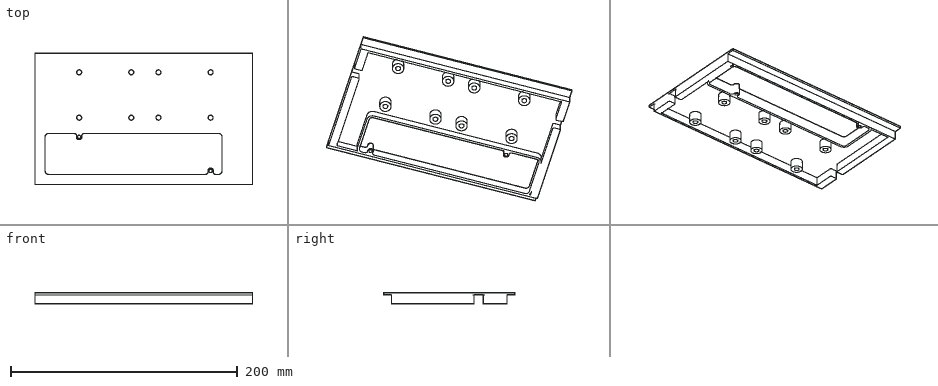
import cadquery as cq

plate_length = 192.0
plate_width = 116.0
plate_thickness = 2.0
overall_height = 10.0

body_setback = 7.0
body_width = plate_width - 2 * body_setback
body_depth = overall_height - plate_thickness
end_wall = 7.0
long_wall = 2.0

notch_width = 8.0
notch_center_y = 26.0
notch_corner_radius = 1.0

window_length = 156.0
window_width = 36.0
window_center_x = -9.0
window_center_y = -31.0
window_corner_radius = 3.0
window_frame_wall = 2.0

mounting_hole_diameter = 4.2
boss_diameter = 10.0
hole_pitch_x = 46.0
hole_pitch_y = 40.0
group_spacing = 70.0
groups_center_x = 1.0
groups_center_y = 21.0

lug_diameter = 5.0
lug_hole_diameter = 2.8
lug_reach = 3.0
lug_root_radius = 2.0
lug_offset_x = (group_spacing + hole_pitch_x) / 2


def mounting_cylinders(diameter, height):
    """Upright cylinders at the eight mounting positions, standing on Z = 0."""
    group_centers = [groups_center_x - group_spacing / 2, groups_center_x + group_spacing / 2]
    points = [
        (group_x + side_x * hole_pitch_x / 2, groups_center_y + side_y * hole_pitch_y / 2)
        for group_x in group_centers
        for side_x in (-1, 1)
        for side_y in (-1, 1)
    ]
    return cq.Workplane("XY").pushPoints(points).circle(diameter / 2).extrude(height)


def window_block(margin, height):
    """Rounded block of the window outline, widened all round by margin."""
    return (
        cq.Workplane("XY")
        .center(window_center_x, window_center_y)
        .rect(window_length + 2 * margin, window_width + 2 * margin)
        .extrude(height)
        .edges("|Z")
        .fillet(window_corner_radius + margin)
    )


def make_end_wall(side):
    """Wall at one X end, split by its notch into two parts."""
    center_x = side * (plate_length - end_wall) / 2
    wall = cq.Workplane("XY").center(center_x, 0).rect(end_wall, body_width).extrude(body_depth)
    notch = (
        cq.Workplane("XY")
        .center(center_x, notch_center_y)
        .rect(end_wall, notch_width)
        .extrude(body_depth)
    )
    wall = wall.cut(notch)
    for edge_x in (center_x - end_wall / 2, center_x + end_wall / 2):
        for edge_y in (notch_center_y - notch_width / 2, notch_center_y + notch_width / 2):
            corner = cq.selectors.NearestToPointSelector((edge_x, edge_y, body_depth / 2))
            wall = wall.edges("|Z").edges(corner).fillet(notch_corner_radius)
    return wall


def make_blank():
    """Plate on top of the end walls, long walls, window frame and bosses."""
    blank = cq.Workplane("XY").workplane(offset=body_depth)
    blank = blank.rect(plate_length, plate_width).extrude(plate_thickness)
    long_wall_length = plate_length - 2 * end_wall
    for side in (-1, 1):
        center_y = side * (body_width - long_wall) / 2
        wall = (
            cq.Workplane("XY")
            .center(0, center_y)
            .rect(long_wall_length, long_wall)
            .extrude(body_depth)
        )
        blank = blank.union(make_end_wall(side)).union(wall)
    blank = blank.union(window_block(window_frame_wall, body_depth))
    return blank.union(mounting_cylinders(boss_diameter, body_depth))


def make_lug(center_x, edge_y, inward):
    """Lug on a window edge; inward is the Y direction into the window.

    Each root fillet is an arc tangent to the window edge and to the round lug.
    """
    lug_radius = lug_diameter / 2
    center_distance = lug_radius + lug_root_radius
    root_rise = lug_reach - lug_root_radius
    root_x = (center_distance**2 - root_rise**2) ** 0.5
    tangent_ratio = lug_radius / center_distance
    tangent_x = root_x * tangent_ratio
    tangent_y = lug_reach - root_rise * tangent_ratio
    root = (
        cq.Workplane("XY")
        .polyline([(-root_x, 0), (-tangent_x, tangent_y), (tangent_x, tangent_y), (root_x, 0)])
        .close()
        .extrude(overall_height)
    )
    root_rounds = (
        cq.Workplane("XY")
        .pushPoints([(-root_x, lug_root_radius), (root_x, lug_root_radius)])
        .circle(lug_root_radius)
        .extrude(overall_height)
    )
    round_end = cq.Workplane("XY").center(0, lug_reach).circle(lug_radius).extrude(overall_height)
    lug = root.cut(root_rounds).union(round_end)
    if inward < 0:
        lug = lug.rotate((0, 0, 0), (0, 0, 1), 180)
    return lug.translate((center_x, edge_y, 0))


def cut_window(part):
    """Window with a drilled lug on each long edge, at opposite ends."""
    part = part.cut(window_block(0, overall_height))
    for side in (-1, 1):
        center_x = groups_center_x - side * lug_offset_x
        edge_y = window_center_y + side * window_width / 2
        hole = (
            cq.Workplane("XY")
            .center(center_x, edge_y - side * lug_reach)
            .circle(lug_hole_diameter / 2)
            .extrude(overall_height)
        )
        part = part.union(make_lug(center_x, edge_y, -side)).cut(hole)
    return part


result = cut_window(make_blank()).cut(mounting_cylinders(mounting_hole_diameter, overall_height))